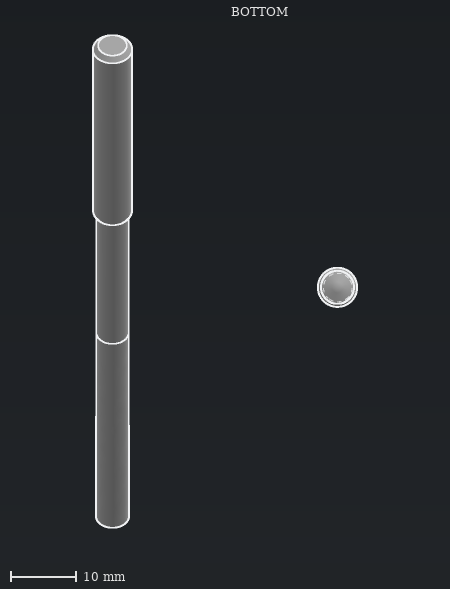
import cadquery as cq
import math

TOTAL_LENGTH = 104.0
SHANK_LENGTH = 36.0
JOINT_Z = 41.2

SHANK_DIAMETER = 6.0
SHANK_CHAMFER = 0.8
SHOULDER_HEIGHT = 1.1
NECK_DIAMETER = 5.0

CUTTER_TIP_DIAMETER = 5.1
POINT_ANGLE = 140.0

shank_radius = SHANK_DIAMETER / 2
neck_radius = NECK_DIAMETER / 2
cutter_tip_radius = CUTTER_TIP_DIAMETER / 2
shoulder_top_z = TOTAL_LENGTH - SHANK_LENGTH
shoulder_bottom_z = shoulder_top_z - SHOULDER_HEIGHT
shoulder_middle_radius = (shank_radius + neck_radius) / 2
shoulder_middle_z = (shoulder_top_z + shoulder_bottom_z) / 2
point_height = cutter_tip_radius / math.tan(math.radians(POINT_ANGLE / 2))


def turned(outline):
    """Turn an open (radius, z) outline, which starts and ends on the Z axis, about that axis."""
    return outline.close().revolve(360, (0, 0), (0, 1))


def make_holder():
    """Chamfered shank, S-curved shoulder and neck, ending flat at the joint."""
    outline = (
        cq.Workplane("XZ")
        .moveTo(0, JOINT_Z)
        .lineTo(neck_radius, JOINT_Z)
        .lineTo(neck_radius, shoulder_bottom_z)
        .tangentArcPoint((shoulder_middle_radius, shoulder_middle_z), relative=False)
        .tangentArcPoint((shank_radius, shoulder_top_z), relative=False)
        .lineTo(shank_radius, TOTAL_LENGTH - SHANK_CHAMFER)
        .lineTo(shank_radius - SHANK_CHAMFER, TOTAL_LENGTH)
        .lineTo(0, TOTAL_LENGTH)
    )
    return turned(outline)


def make_cutter():
    """Tapered round cutter with a conical point, butted against the neck."""
    outline = (
        cq.Workplane("XZ")
        .moveTo(0, 0)
        .lineTo(cutter_tip_radius, point_height)
        .lineTo(neck_radius, JOINT_Z)
        .lineTo(0, JOINT_Z)
    )
    return turned(outline)


holder = make_holder()
cutter = make_cutter()

result = cq.Compound.makeCompound([holder.val(), cutter.val()])